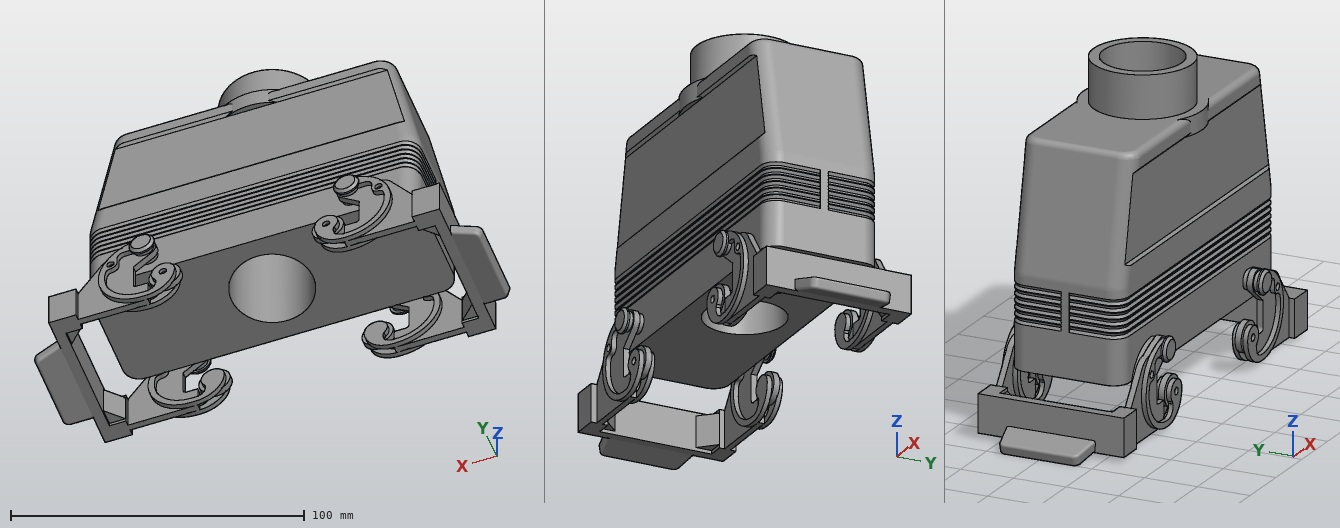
import cadquery as cq
import math

HOOD_HALF_LENGTH = 60.0
HOOD_HALF_WIDTH = 21.5
HOOD_HEIGHT = 81.0
HOOD_TOP_HALF_LENGTH = 50.8
TAPER_START = 34.8
TAPER_BEND_RADIUS = 7.3
HOOD_CORNER_RADIUS = 6.0
HOOD_TOP_FILLET = 2.5

NECK_RADIUS = 18.5
BORE_RADIUS = 14.8
NECK_TOP = 97.2
BOSS_RADIUS = 22.5

RECESS_DEPTH = 1.0
RECESS_TOP = 74.0
RECESS_BOTTOM = 43.1

GROOVE_COUNT = 6
GROOVE_PITCH = 2.5
GROOVE_HEIGHT = 2.1
GROOVE_DEPTH = 0.7
LOWEST_GROOVE = 17.0
GROOVE_GAP_WIDTH = 3.1

INNER_HOOK_FACE = HOOD_HALF_WIDTH
PLATE_INNER_FACE = 23.3
PLATE_OUTER_FACE = 25.5
HOOK_OUTER_FACE = 27.3
PIN_HEAD_FACE = 29.0

BAR_BOTTOM = -20.7
BAR_HEIGHT = 14.3
BAR_OUTER_X = -71.0
BAR_THICKNESS = 3.9
ARM_INNER_X = -61.0
BAR_HALF_WIDTH = 27.7
ARM_INNER_Y = 21.3
GUSSET_LEG = 5.9
GUSSET_SETBACK = 1.3
TAB_TIP_X = -81.4
TAB_ANGLE = 15
TAB_THICKNESS = 4.2
TAB_ROOT_HALF_WIDTH = 17.0
TAB_TIP_HALF_WIDTH = 14.8
TAB_CORNER_RADIUS = 2.5
TAB_EDGE_FILLET = 1.0
TAB_EMBED = 1.6

HOOK_X = -37.1
HOOK_RADIUS = 16.0
HOOK_Z = BAR_BOTTOM + HOOK_RADIUS
HOOK_BAND = 2.3
PIN_X = HOOK_X
PIN_Z = 7.7
PIN_RADIUS = 4.5
PIN_HEAD_CHAMFER = 1.0
HOOK_TIP_RADIUS = HOOK_Z + HOOK_RADIUS - PIN_Z
PLATE_EYE_RADIUS = 4.2
ROLLER_RADIUS = 5.7
ROLLER_CHEEK_RADIUS = 4.2
HOOK_NOSE_RADIUS = 10.5
NOSE_X = -36.0
NOSE_Z = BAR_BOTTOM + HOOK_NOSE_RADIUS
ROLLER_X = NOSE_X + HOOK_NOSE_RADIUS - ROLLER_CHEEK_RADIUS
ROLLER_Z = NOSE_Z
THROAT_RADIUS = 3.7
THROAT_CORNER_Z = -14.0
LOBE_X = -48.7
LOBE_Z = 2.1
LOBE_RADIUS = 2.5
LOBE_BLEND_ANGLE = 168
NECK_BLEND_RADIUS = 2.5
HOOK_TIP_UNDERSIDE = 6.7
RIVET_HOLE_RADIUS = 1.3
RIVET_HOLE_DEPTH = 1.3

PLATE_SHOULDER_START = (-53.5, 3.7)
PLATE_SHOULDER_MIDDLE = (-51.0, 6.7)
PLATE_SHOULDER_END = (-47.2, 8.0)
PLATE_SLOT_X = -41.0
PLATE_SLOT_TOP = -0.7
PLATE_SLOT_FLOOR = -11.7
PLATE_SLOT_FILLET = 1.3
PLATE_TOE_X = -35.7
PLATE_EYE_UPPER_ANGLE = 112
PLATE_EYE_LOWER_ANGLE = -52


def on_circle(center_x, center_z, radius, degrees):
    angle = math.radians(degrees)
    return (center_x + radius * math.cos(angle), center_z + radius * math.sin(angle))


def layer_plane(inner_face):
    """XZ sketch plane whose extrusions grow towards -Y from the given distance."""
    return cq.Workplane("XZ", origin=(0, -inner_face, 0))


def layer_disc(x, z, radius, inner_face, outer_face):
    return layer_plane(inner_face).center(x, z).circle(radius).extrude(outer_face - inner_face)


def hood_blank():
    """Tapered block whose end faces bend smoothly, with rounded corners and top."""
    slope = math.atan2(HOOD_HALF_LENGTH - HOOD_TOP_HALF_LENGTH, HOOD_HEIGHT - TAPER_START)
    tangent = TAPER_BEND_RADIUS * math.tan(slope / 2)
    bend_end_x = HOOD_HALF_LENGTH - tangent * math.sin(slope)
    bend_end_z = TAPER_START + tangent * math.cos(slope)
    blank = (
        cq.Workplane("XZ")
        .moveTo(-HOOD_HALF_LENGTH, 0)
        .lineTo(HOOD_HALF_LENGTH, 0)
        .lineTo(HOOD_HALF_LENGTH, TAPER_START - tangent)
        .tangentArcPoint((bend_end_x, bend_end_z), relative=False)
        .lineTo(HOOD_TOP_HALF_LENGTH, HOOD_HEIGHT)
        .lineTo(-HOOD_TOP_HALF_LENGTH, HOOD_HEIGHT)
        .lineTo(-bend_end_x, bend_end_z)
        .tangentArcPoint((-HOOD_HALF_LENGTH, TAPER_START - tangent), relative=False)
        .close()
        .extrude(HOOD_HALF_WIDTH, both=True)
    )
    blank = blank.faces("<Y or >Y").edges("not |X").fillet(HOOD_CORNER_RADIUS)
    return blank.faces(">Z").edges().fillet(HOOD_TOP_FILLET)


def side_recess():
    """Cutter for the -Y recess: its upper and lower edges slope out at 45 degrees."""
    floor_y = HOOD_HALF_WIDTH - RECESS_DEPTH
    clear_y = HOOD_HALF_WIDTH + RECESS_DEPTH
    return (
        cq.Workplane("YZ", origin=(-HOOD_HALF_LENGTH, 0, 0))
        .moveTo(-floor_y, RECESS_BOTTOM)
        .lineTo(-floor_y, RECESS_TOP)
        .lineTo(-clear_y, RECESS_TOP + 2 * RECESS_DEPTH)
        .lineTo(-clear_y, RECESS_BOTTOM - 2 * RECESS_DEPTH)
        .close()
        .extrude(2 * HOOD_HALF_LENGTH)
    )


def grip_groove(bottom):
    """V-groove ring around the hood, interrupted at the middle of both end faces."""
    half_height = GROOVE_HEIGHT / 2
    taper = math.degrees(math.atan2(GROOVE_DEPTH, half_height))
    section = cq.Sketch().rect(2 * HOOD_HALF_LENGTH, 2 * HOOD_HALF_WIDTH)
    section = section.vertices().fillet(HOOD_CORNER_RADIUS)
    lower_core = (
        cq.Workplane("XY", origin=(0, 0, bottom))
        .placeSketch(section)
        .extrude(half_height, taper=taper)
    )
    upper_core = lower_core.mirror("XY", (0, 0, bottom + half_height))
    ring = (
        cq.Workplane("XY", origin=(0, 0, bottom))
        .rect(2 * (HOOD_HALF_LENGTH + GROOVE_DEPTH), 2 * (HOOD_HALF_WIDTH + GROOVE_DEPTH))
        .extrude(GROOVE_HEIGHT)
        .cut(lower_core)
        .cut(upper_core)
    )
    gap = cq.Workplane("XY").box(4 * HOOD_HALF_LENGTH, GROOVE_GAP_WIDTH, 4 * HOOD_HEIGHT)
    return ring.cut(gap)


def hood():
    body = hood_blank()
    recess = side_recess()
    body = body.cut(recess).cut(recess.mirror("XZ"))
    for index in range(GROOVE_COUNT):
        body = body.cut(grip_groove(LOWEST_GROOVE + index * GROOVE_PITCH))
    boss_plane = cq.Workplane("XY", origin=(0, 0, RECESS_TOP))
    boss = boss_plane.circle(BOSS_RADIUS).extrude(HOOD_HEIGHT - RECESS_TOP)
    neck = boss_plane.circle(NECK_RADIUS).extrude(NECK_TOP - RECESS_TOP)
    bore = cq.Workplane("XY").circle(BORE_RADIUS).extrude(NECK_TOP)
    return body.union(boss).union(neck).cut(bore)


def finger_tab():
    """Tapered tab with rounded edges, sloping down from the outer face of the bar."""
    angle = math.radians(TAB_ANGLE)
    reach = BAR_OUTER_X - TAB_TIP_X - TAB_EDGE_FILLET * (1 - math.sin(angle))
    length = reach / math.cos(angle) + TAB_EDGE_FILLET
    root_top = BAR_BOTTOM + TAB_THICKNESS / math.cos(angle)
    tab = (
        cq.Workplane("XY")
        .polyline([
            (TAB_EMBED, -TAB_ROOT_HALF_WIDTH),
            (TAB_EMBED, TAB_ROOT_HALF_WIDTH),
            (0, TAB_ROOT_HALF_WIDTH),
            (-length, TAB_TIP_HALF_WIDTH),
            (-length, -TAB_TIP_HALF_WIDTH),
            (0, -TAB_ROOT_HALF_WIDTH),
        ])
        .close()
        .extrude(-TAB_THICKNESS)
        .edges("|Z and <X")
        .fillet(TAB_CORNER_RADIUS)
    )
    tab = tab.faces("<Z or >Z").edges("not >X").fillet(TAB_EDGE_FILLET)
    return tab.rotate((0, 0, 0), (0, 1, 0), -TAB_ANGLE).translate((BAR_OUTER_X, 0, root_top))


def crossbar():
    """U-shaped bar joining both side plates, with a gusset in each inner corner."""
    bar_inner_x = BAR_OUTER_X + BAR_THICKNESS
    bar = (
        cq.Workplane("XY", origin=(0, 0, BAR_BOTTOM))
        .polyline([
            (BAR_OUTER_X, -BAR_HALF_WIDTH),
            (ARM_INNER_X, -BAR_HALF_WIDTH),
            (ARM_INNER_X, -ARM_INNER_Y),
            (bar_inner_x, -ARM_INNER_Y),
            (bar_inner_x, ARM_INNER_Y),
            (ARM_INNER_X, ARM_INNER_Y),
            (ARM_INNER_X, BAR_HALF_WIDTH),
            (BAR_OUTER_X, BAR_HALF_WIDTH),
        ])
        .close()
        .extrude(BAR_HEIGHT)
    )
    gusset = (
        cq.Workplane("XY", origin=(0, 0, BAR_BOTTOM + GUSSET_SETBACK))
        .polyline([
            (bar_inner_x, -ARM_INNER_Y),
            (bar_inner_x + GUSSET_LEG, -ARM_INNER_Y),
            (bar_inner_x, -ARM_INNER_Y + GUSSET_LEG),
        ])
        .close()
        .extrude(BAR_HEIGHT - 2 * GUSSET_SETBACK)
    )
    return bar.union(gusset).union(gusset.mirror("XZ")).union(finger_tab())


def side_plate():
    """Flat plate from the crossbar to the pivot eye, with a slot open towards the hood."""
    plate = (
        layer_plane(PLATE_INNER_FACE)
        .moveTo(ARM_INNER_X, BAR_BOTTOM)
        .lineTo(ARM_INNER_X, BAR_BOTTOM + BAR_HEIGHT)
        .lineTo(*PLATE_SHOULDER_START)
        .threePointArc(PLATE_SHOULDER_MIDDLE, PLATE_SHOULDER_END)
        .lineTo(*on_circle(PIN_X, PIN_Z, PLATE_EYE_RADIUS, PLATE_EYE_UPPER_ANGLE))
        .lineTo(*on_circle(PIN_X, PIN_Z, PLATE_EYE_RADIUS, PLATE_EYE_LOWER_ANGLE))
        .lineTo(PLATE_SLOT_X, PLATE_SLOT_TOP)
        .lineTo(PLATE_SLOT_X, PLATE_SLOT_FLOOR + PLATE_SLOT_FILLET)
        .tangentArcPoint((PLATE_SLOT_X + PLATE_SLOT_FILLET, PLATE_SLOT_FLOOR), relative=False)
        .lineTo(PLATE_TOE_X, PLATE_SLOT_FLOOR)
        .lineTo(PLATE_TOE_X, BAR_BOTTOM)
        .close()
        .extrude(PLATE_OUTER_FACE - PLATE_INNER_FACE)
    )
    eye = layer_disc(PIN_X, PIN_Z, PLATE_EYE_RADIUS, PLATE_INNER_FACE, PLATE_OUTER_FACE)
    return plate.union(eye)


def hook_layer(inner_face, outer_face):
    """C-shaped band around the pivot side of the slot, from the pin tip to the roller cheek."""
    inner_radius = HOOK_RADIUS - HOOK_BAND
    throat_x = NOSE_X + THROAT_RADIUS
    band_bottom = BAR_BOTTOM + HOOK_BAND
    neck_x = LOBE_X + LOBE_RADIUS
    band = (
        layer_plane(inner_face)
        .moveTo(HOOK_X, HOOK_Z + HOOK_RADIUS)
        .threePointArc((HOOK_X - HOOK_RADIUS, HOOK_Z), (HOOK_X, BAR_BOTTOM))
        .lineTo(NOSE_X, BAR_BOTTOM)
        .threePointArc(
            on_circle(NOSE_X, NOSE_Z, HOOK_NOSE_RADIUS, -45),
            (NOSE_X + HOOK_NOSE_RADIUS, NOSE_Z),
        )
        .lineTo(ROLLER_X, ROLLER_Z)
        .lineTo(*on_circle(ROLLER_X, ROLLER_Z, ROLLER_CHEEK_RADIUS, -135))
        .lineTo(throat_x, THROAT_CORNER_Z)
        .lineTo(throat_x, band_bottom + THROAT_RADIUS)
        .tangentArcPoint((NOSE_X, band_bottom), relative=False)
        .lineTo(HOOK_X, band_bottom)
        .threePointArc(
            on_circle(HOOK_X, HOOK_Z, inner_radius, -135),
            on_circle(HOOK_X, HOOK_Z, inner_radius, LOBE_BLEND_ANGLE),
        )
        .tangentArcPoint((LOBE_X, LOBE_Z - LOBE_RADIUS), relative=False)
        .threePointArc(on_circle(LOBE_X, LOBE_Z, LOBE_RADIUS, -45), (neck_x, LOBE_Z))
        .lineTo(neck_x, HOOK_TIP_UNDERSIDE - NECK_BLEND_RADIUS)
        .tangentArcPoint((neck_x + NECK_BLEND_RADIUS, HOOK_TIP_UNDERSIDE), relative=False)
        .lineTo(PIN_X, HOOK_TIP_UNDERSIDE)
        .close()
        .extrude(outer_face - inner_face)
    )
    cheek = layer_disc(ROLLER_X, ROLLER_Z, ROLLER_CHEEK_RADIUS, inner_face, outer_face)
    tip = layer_disc(PIN_X, PIN_Z, HOOK_TIP_RADIUS, inner_face, outer_face)
    return band.union(cheek).union(tip)


def latch_side():
    """Plate, two hook layers, roller and pivot pin on the -Y side."""
    side = side_plate()
    side = side.union(hook_layer(INNER_HOOK_FACE, PLATE_INNER_FACE))
    side = side.union(hook_layer(PLATE_OUTER_FACE, HOOK_OUTER_FACE))
    side = side.union(layer_disc(ROLLER_X, ROLLER_Z, ROLLER_RADIUS, PLATE_INNER_FACE, PLATE_OUTER_FACE))
    pin_head = layer_disc(PIN_X, PIN_Z, PIN_RADIUS, HOOK_OUTER_FACE, PIN_HEAD_FACE)
    pin_head = pin_head.faces("<Y").edges().chamfer(PIN_HEAD_CHAMFER)
    side = side.union(pin_head)
    hole_floor = HOOK_OUTER_FACE - RIVET_HOLE_DEPTH
    for x, z in [(LOBE_X, LOBE_Z), (ROLLER_X, ROLLER_Z)]:
        side = side.cut(layer_disc(x, z, RIVET_HOLE_RADIUS, hole_floor, HOOK_OUTER_FACE))
    return side


side = latch_side()
latch = crossbar().union(side).union(side.mirror("XZ"))
result = hood().union(latch).union(latch.mirror("YZ"))